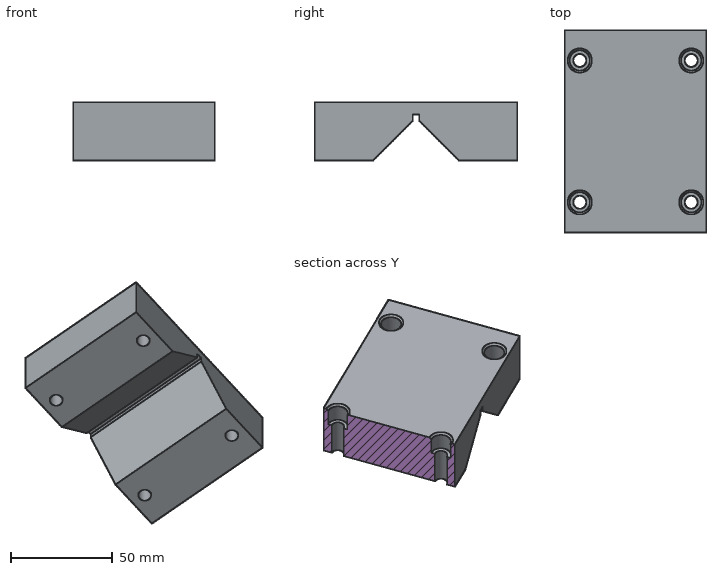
import cadquery as cq

width = 70.0
length = 100.0
height = 28.8

groove_half_width = 21.2
slot_width = 3.0
slot_height = 3.0

hole_spacing_x = 55.0
hole_spacing_y = 70.0
through_diameter = 6.3
counterbore_diameter = 10.0
counterbore_depth = 10.0
rim_diameter = 12.0


def make_block():
    return cq.Workplane("XY").box(width, length, height, centered=(True, True, False))


def make_groove():
    """V groove and relief slot, open at the underside and running the full width."""
    slot_half = slot_width / 2
    slot_start = groove_half_width - slot_half
    slot_top = slot_start + slot_height
    outline = [
        (-groove_half_width, 0),
        (-slot_half, slot_start),
        (-slot_half, slot_top),
        (slot_half, slot_top),
        (slot_half, slot_start),
        (groove_half_width, 0),
    ]
    return cq.Workplane("YZ").polyline(outline).close().extrude(width / 2, both=True)


def make_screw_hole():
    """One screw hole as a solid: its half section revolved about the vertical axis."""
    through_radius = through_diameter / 2
    bore_radius = counterbore_diameter / 2
    rim_radius = rim_diameter / 2
    rim_depth = rim_radius - bore_radius
    bore_floor = height - counterbore_depth
    section = [
        (0, 0),
        (through_radius, 0),
        (through_radius, bore_floor),
        (bore_radius, bore_floor),
        (bore_radius, height - rim_depth),
        (rim_radius, height),
        (0, height),
    ]
    return cq.Workplane("XZ").polyline(section).close().revolve(360, (0, 0), (0, 1))


result = make_block().cut(make_groove())
screw_hole = make_screw_hole()
for x in (-hole_spacing_x / 2, hole_spacing_x / 2):
    for y in (-hole_spacing_y / 2, hole_spacing_y / 2):
        result = result.cut(screw_hole.translate((x, y, 0)))